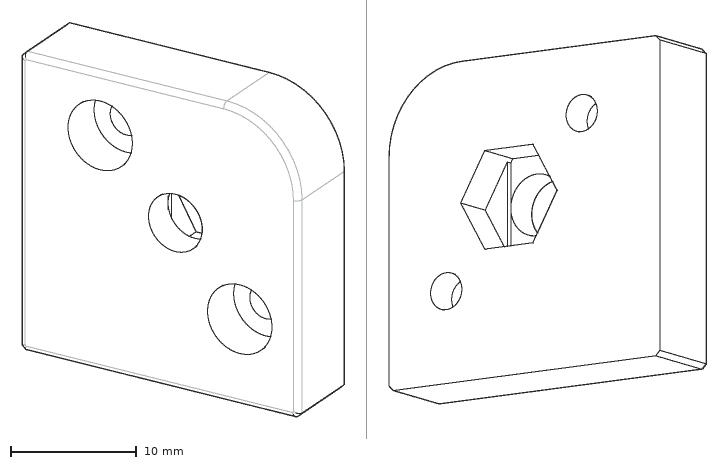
import cadquery as cq
import math

side = 26.0
thickness = 7.0
large_corner_radius = 7.0
small_corner_chamfer = 0.4
front_edge_radius = 0.5

center_x = 14.5
center_z = 14.5
center_hole_diameter = 5.0
center_hole_length = 3.0
bridge_slot_depth = 0.5
nut_across_flats = 8.0
nut_sides = 6
nut_across_corners = nut_across_flats / math.cos(math.pi / nut_sides)

screw_hole_diameter = 3.0
screw_head_diameter = 6.0
screw_head_depth = 4.0
screw_offset_long = 7.0
screw_offset_short = 6.0
screw_positions = [
    (center_x - screw_offset_long, center_z + screw_offset_short),
    (center_x + screw_offset_short, center_z - screw_offset_long),
]


def sketch_plane(x, y, z):
    """Workplane parallel to the plate; a negative extrusion runs toward the back face."""
    return cq.Workplane("XZ", origin=(x, y, z))


def make_plate():
    """Square plate with one large round corner, three chamfered ones and a rounded front rim."""
    plate = cq.Workplane("XY").box(side, thickness, side, centered=False)
    plate = plate.edges("|Y and >X and >Z").fillet(large_corner_radius)
    plate = plate.edges("|Y and (<X or <Z)").chamfer(small_corner_chamfer)
    return plate.faces("<Y").edges().fillet(front_edge_radius)


def make_hexagon(start_depth):
    """Nut-shaped prism from the given depth to the back face, with flats facing up and down."""
    return (
        sketch_plane(center_x, start_depth, center_z)
        .polygon(nut_sides, nut_across_corners)
        .extrude(start_depth - thickness)
    )


def make_nut_pocket():
    """Hexagonal pocket open at the back, with a shallow hole-wide slot along Z at its bottom."""
    slot = (
        sketch_plane(center_x, center_hole_length, center_z)
        .rect(center_hole_diameter, nut_across_flats)
        .extrude(-bridge_slot_depth)
        .intersect(make_hexagon(center_hole_length))
    )
    return make_hexagon(center_hole_length + bridge_slot_depth).union(slot)


def make_center_hole():
    """Round hole from the front face to the bottom of the slot in the nut pocket."""
    return (
        sketch_plane(center_x, 0, center_z)
        .circle(center_hole_diameter / 2)
        .extrude(-center_hole_length)
    )


def make_screw_hole(x, z):
    """Through hole with a counterbore in the front face."""
    shank = sketch_plane(x, 0, z).circle(screw_hole_diameter / 2).extrude(-thickness)
    head = sketch_plane(x, 0, z).circle(screw_head_diameter / 2).extrude(-screw_head_depth)
    return shank.union(head)


result = make_plate()
result = result.cut(make_center_hole()).cut(make_nut_pocket())
for screw_x, screw_z in screw_positions:
    result = result.cut(make_screw_hole(screw_x, screw_z))
result = cq.Workplane(result.solids().val())